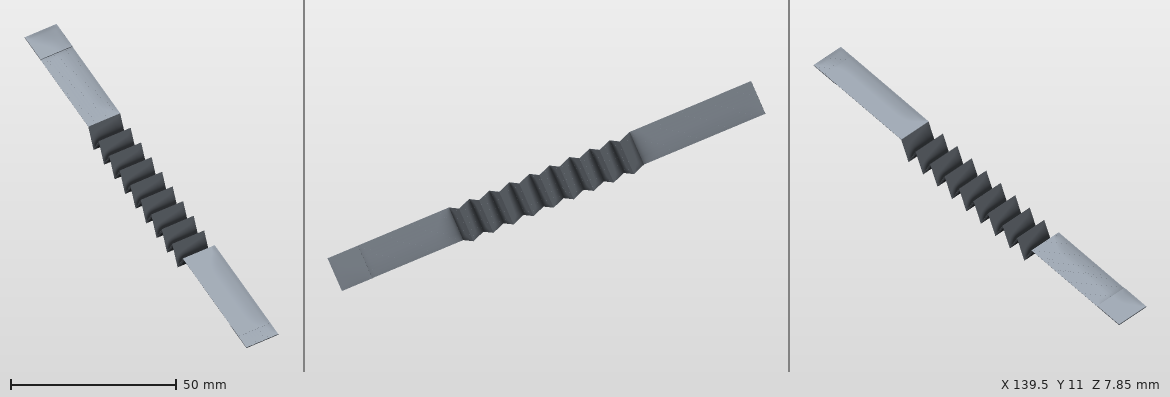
import cadquery as cq
import math

LENGTH = 139.48
WIDTH = 11.0
HEIGHT = 7.85

CONDUCTOR_COUNT = 10
CONDUCTOR_PITCH = WIDTH / (CONDUCTOR_COUNT + 1)
CONDUCTOR_WIDTH = 0.7
CONDUCTOR_THICKNESS = 0.1
CONDUCTOR_PROUD = 0.01
WEB_THICKNESS = CONDUCTOR_THICKNESS - 2 * CONDUCTOR_PROUD

TAIL_LENGTH = 40.0
PLEAT_COUNT = 9
PLEAT_PITCH = (LENGTH - 2 * TAIL_LENGTH) / PLEAT_COUNT

STIFFENER_LENGTH = 10.0
STIFFENER_THICKNESS = 0.25
COVER_THICKNESS = 0.035
EXPOSED_CONTACT_LENGTH = 5.0

TAIL_TOP = CONDUCTOR_THICKNESS / 2
VALLEY_BOTTOM = TAIL_TOP + STIFFENER_THICKNESS - HEIGHT


def pleat_depth():
    """Depth of the pleat centreline that puts the mitred valley corners at VALLEY_BOTTOM.

    A slope has half-thickness t, run r and depth d. Its mitred corner lies t * sqrt(r^2 + d^2) / r
    below the centreline, so d + t * sqrt(1 + (d / r)^2) = -VALLEY_BOTTOM, a quadratic in d.
    """
    run = PLEAT_PITCH / 2
    half_thickness = CONDUCTOR_THICKNESS / 2
    drop = -VALLEY_BOTTOM
    a = 1 - (half_thickness / run) ** 2
    c = drop**2 - half_thickness**2
    return (drop - math.sqrt(drop**2 - a * c)) / a


def centreline():
    """Points (x, z) along the middle of the ribbon's thickness."""
    depth = pleat_depth()
    points = [(0, 0)]
    for pleat in range(PLEAT_COUNT):
        start = TAIL_LENGTH + pleat * PLEAT_PITCH
        points.append((start, 0))
        points.append((start + PLEAT_PITCH / 2, -depth))
    points.append((LENGTH - TAIL_LENGTH, 0))
    points.append((LENGTH, 0))
    return points


def normal(start, end):
    """Unit normal on the upper side of a centreline segment."""
    dx = end[0] - start[0]
    dz = end[1] - start[1]
    length = math.hypot(dx, dz)
    return -dz / length, dx / length


def offset(points, distance):
    """Copy of the open polyline moved sideways by distance, with mitred corners."""
    normals = [normal(start, end) for start, end in zip(points, points[1:])]
    before = normals[:1] + normals
    after = normals + normals[-1:]
    moved = []
    for (x, z), (ax, az), (bx, bz) in zip(points, before, after):
        mitre = distance / (1 + ax * bx + az * bz)
        moved.append((x + mitre * (ax + bx), z + mitre * (az + bz)))
    return moved


def folded_strip(thickness, y_start, width):
    """Strip following the centreline, from y_start to y_start + width."""
    points = centreline()
    upper = offset(points, thickness / 2)
    lower = offset(points, -thickness / 2)
    outline = upper + lower[::-1]
    return cq.Workplane("XZ", origin=(0, y_start, 0)).polyline(outline).close().extrude(-width)


def conductor(number):
    centre = number * CONDUCTOR_PITCH
    return folded_strip(CONDUCTOR_THICKNESS, centre - CONDUCTOR_WIDTH / 2, CONDUCTOR_WIDTH)


def plate(x_start, x_end, z_start, z_end):
    """Full-width flat plate."""
    size_x = x_end - x_start
    size_z = z_end - z_start
    return cq.Workplane("XY").box(size_x, WIDTH, size_z, centered=False).translate((x_start, 0, z_start))


def ribbon():
    body = folded_strip(WEB_THICKNESS, 0, WIDTH)
    for number in range(1, CONDUCTOR_COUNT + 1):
        body = body.union(conductor(number))
    return body


def upper_stiffener():
    """Stiffener resting on the conductors of the first tail."""
    return plate(0, STIFFENER_LENGTH, TAIL_TOP, TAIL_TOP + STIFFENER_THICKNESS)


def lower_stiffener():
    """Stiffener held against the underside of the conductors of the second tail."""
    bottom = -TAIL_TOP - STIFFENER_THICKNESS
    return plate(LENGTH - STIFFENER_LENGTH, LENGTH, bottom, -TAIL_TOP)


def cover_film():
    """Film resting on the conductors of the second tail, leaving the contacts bare at the end."""
    film_end = LENGTH - EXPOSED_CONTACT_LENGTH
    return plate(LENGTH - TAIL_LENGTH, film_end, TAIL_TOP, TAIL_TOP + COVER_THICKNESS)


result = ribbon().union(upper_stiffener()).union(lower_stiffener()).union(cover_film())